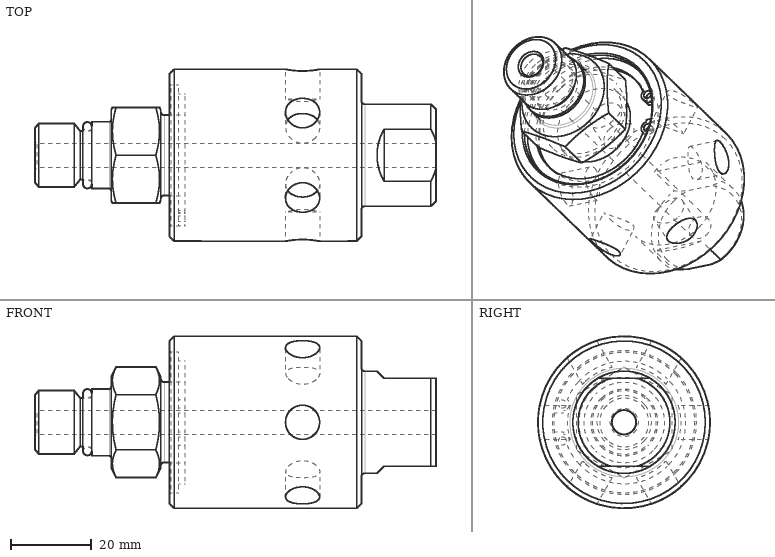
import cadquery as cq
import math


total_length = 99.7
thread_end = 9.8
thread_runout = 1.5
groove_end = 14.2
hex_start = 18.9
hex_end = 31.3
sleeve_start = 33.4
sleeve_end = 81.2
recess_floor = 37.2
flat_start = 86.8
hole_position = 66.5

bore_diameter = 6.0
bore_chamfer = 0.5
thread_diameter = 15.9
thread_chamfer_length = 1.0
thread_chamfer_depth = 1.2
groove_diameter = 12.2
collar_diameter = 16.7
collar_fillet = 0.5
hex_across_flats = 23.8
hex_face_diameter = 22.5
hex_chamfer_slope = 0.5
neck_diameter = 20.0
neck_fillet = 0.8

ring_section_diameter = 2.2

sleeve_diameter = 42.8
sleeve_chamfer = 1.2
recess_diameter = 35.0
recess_chamfer = 0.4
hole_count = 6
hole_diameter = 8.5
hole_floor_diameter = 28.1

clip_diameter = 37.2
clip_inner_diameter = 30.5
clip_thickness = 1.5
clip_gap = 4.7
ear_radius = 1.7
ear_hole_diameter = 2.0
ear_radial_position = 15.4
ear_offset = 4.6

boss_diameter = 25.4
boss_chamfer = 1.3
boss_fillet = 0.8
boss_across_flats = 21.9


def cylinder(start, end, diameter):
    return cq.Workplane("YZ", origin=(start, 0, 0)).circle(diameter / 2).extrude(end - start)


def make_stub():
    """Threaded end, O-ring groove and collar, up to the hexagon."""
    thread_radius = thread_diameter / 2
    groove_radius = groove_diameter / 2
    collar_radius = collar_diameter / 2
    groove_start = thread_end + thread_runout
    profile = (
        cq.Workplane("XY")
        .moveTo(0, 0)
        .lineTo(0, thread_radius - thread_chamfer_depth)
        .lineTo(thread_chamfer_length, thread_radius)
        .lineTo(thread_end, thread_radius)
        .lineTo(groove_start, groove_radius)
        .lineTo(groove_end, groove_radius)
        .lineTo(groove_end, collar_radius)
        .lineTo(hex_start - collar_fillet, collar_radius)
        .radiusArc((hex_start, collar_radius + collar_fillet), -collar_fillet)
        .lineTo(hex_start, 0)
        .close()
    )
    return profile.revolve(360, (0, 0, 0), (1, 0, 0))


def make_hexagon():
    """Hexagon with corners up and down, and both ends turned to a cone."""
    across_corners = hex_across_flats / math.cos(math.pi / 6)
    face_radius = hex_face_diameter / 2
    cone_rise = across_corners / 2 - face_radius
    cone_length = cone_rise * hex_chamfer_slope
    prism = (
        cq.Workplane("YZ", origin=(hex_start, 0, 0))
        .polygon(6, across_corners)
        .extrude(hex_end - hex_start)
        .rotate((0, 0, 0), (1, 0, 0), 90)
    )
    envelope = (
        cq.Workplane("XY")
        .moveTo(hex_start, 0)
        .lineTo(hex_start, face_radius)
        .lineTo(hex_start + cone_length, face_radius + cone_rise)
        .lineTo(hex_end - cone_length, face_radius + cone_rise)
        .lineTo(hex_end, face_radius)
        .lineTo(hex_end, 0)
        .close()
        .revolve(360, (0, 0, 0), (1, 0, 0))
    )
    return prism.intersect(envelope)


def make_neck():
    """Round neck that runs from the hexagon to the recess floor."""
    neck_radius = neck_diameter / 2
    profile = (
        cq.Workplane("XY")
        .moveTo(hex_end, 0)
        .lineTo(hex_end, neck_radius + neck_fillet)
        .radiusArc((hex_end + neck_fillet, neck_radius), -neck_fillet)
        .lineTo(recess_floor, neck_radius)
        .lineTo(recess_floor, 0)
        .close()
    )
    return profile.revolve(360, (0, 0, 0), (1, 0, 0))


def make_sleeve():
    """Outer sleeve with its front recess and the ring of blind radial holes."""
    sleeve = cylinder(sleeve_start, sleeve_end, sleeve_diameter).faces("<X or >X").chamfer(sleeve_chamfer)
    recess = cylinder(sleeve_start, recess_floor, recess_diameter)
    sleeve = sleeve.cut(recess)
    sleeve = sleeve.faces("<X").edges("%CIRCLE").edges(cq.selectors.RadiusNthSelector(0)).chamfer(recess_chamfer)

    core = cylinder(sleeve_start, sleeve_end, hole_floor_diameter)
    radial_hole = (
        cq.Workplane("XZ", origin=(hole_position, 0, 0))
        .circle(hole_diameter / 2)
        .extrude(sleeve_diameter)
        .cut(core)
    )
    for index in range(hole_count):
        angle = index * 360 / hole_count
        sleeve = sleeve.cut(radial_hole.rotate((0, 0, 0), (1, 0, 0), angle))
    return sleeve


def make_retaining_ring():
    """Open ring with two drilled ears beside the gap, which faces -Y."""
    start = recess_floor - clip_thickness
    ear_points = [(-ear_radial_position, side * ear_offset) for side in (-1, 1)]
    plane = cq.Workplane("YZ", origin=(start, 0, 0))
    ring = plane.circle(clip_diameter / 2).circle(clip_inner_diameter / 2).extrude(clip_thickness)
    ears = plane.pushPoints(ear_points).circle(ear_radius).extrude(clip_thickness)
    ear_holes = plane.pushPoints(ear_points).circle(ear_hole_diameter / 2).extrude(clip_thickness)
    gap_length = recess_diameter / 2
    gap = plane.center(-gap_length / 2, 0).rect(gap_length, clip_gap).extrude(clip_thickness)
    return ring.union(ears).cut(ear_holes).cut(gap)


def make_boss():
    """Outlet boss with two wrench flats that run out at 45 degrees."""
    boss_radius = boss_diameter / 2
    flat_height = boss_across_flats / 2
    flat_depth = boss_radius - flat_height
    boss = cylinder(sleeve_end, total_length, boss_diameter).faces(">X").chamfer(boss_chamfer)
    flat_cut = (
        cq.Workplane("XZ")
        .moveTo(flat_start - flat_depth, boss_radius)
        .lineTo(flat_start, flat_height)
        .lineTo(total_length, flat_height)
        .lineTo(total_length, boss_radius)
        .close()
        .extrude(boss_radius, both=True)
    )
    boss = boss.cut(flat_cut).cut(flat_cut.mirror("XY"))
    root_fillet = (
        cq.Workplane("XY")
        .moveTo(sleeve_end, 0)
        .lineTo(sleeve_end, boss_radius + boss_fillet)
        .radiusArc((sleeve_end + boss_fillet, boss_radius), -boss_fillet)
        .lineTo(sleeve_end + boss_fillet, 0)
        .close()
        .revolve(360, (0, 0, 0), (1, 0, 0))
    )
    return boss.union(root_fillet)


def make_joint_body():
    """Stub, hexagon, neck, sleeve, retaining ring and boss as one solid with a through bore."""
    body = make_sleeve()
    for section in (make_boss(), make_retaining_ring(), make_neck(), make_hexagon(), make_stub()):
        body = body.union(section)
    body = body.cut(cylinder(0, total_length, bore_diameter))
    bore_mouth = cq.Solid.makeCone(
        bore_diameter / 2 + bore_chamfer,
        bore_diameter / 2,
        bore_chamfer,
        dir=cq.Vector(1, 0, 0),
    )
    return body.cut(cq.Workplane(bore_mouth))


def make_o_ring():
    """O-ring that rests on the groove floor and against the collar."""
    section_radius = ring_section_diameter / 2
    centre_radius = groove_diameter / 2 + section_radius
    ring = cq.Solid.makeTorus(
        centre_radius,
        section_radius,
        pnt=cq.Vector(groove_end - section_radius, 0, 0),
        dir=cq.Vector(1, 0, 0),
    )
    return cq.Workplane(ring)


joint_body = make_joint_body()
o_ring = make_o_ring()

result = cq.Compound.makeCompound([joint_body.solids().val(), o_ring.val()])